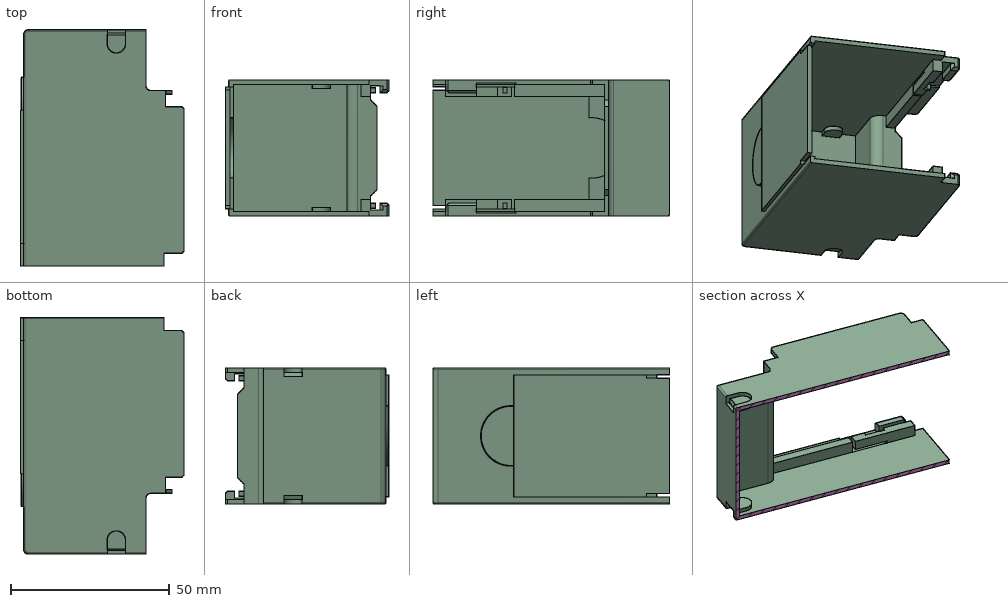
import cadquery as cq

LENGTH = 74.7
WIDTH = 51.8
HEIGHT = 43.0
WALL = 1.5
HALF = HEIGHT / 2
INNER_HALF = HALF - WALL

SIDE_X = 1.05
SIDE_CORNER_RADIUS = 1.6
SHOULDER_X = 39.75
SHOULDER_Y = 55.5
SHOULDER_RADIUS = 1.5
SHOULDER_WALL = 1.3
BEND_RADIUS = 3.3
LEDGE_INNER_Y = SHOULDER_Y - SHOULDER_WALL
LEDGE_X = 45.9
FOOT_TOP_Y = 50.4
FOOT_BOTTOM_Y = 4.0
OPEN_END_X = 45.4
FOOT_CHAMFER = 0.75
EDGE_ROUND = 0.5

TONGUE_X = 47.95
TONGUE_HALF = 15.1
TONGUE_CHAMFER = 1.95

WINDOW_HALF = 19.3
WINDOW_TOP_Y = 49.3
PANEL_BACK_X = 1.5
PANEL_CHAMFER = 0.2
PAD_RADIUS = 9.55
PAD_Y = 50.1
PAD_X = 0.2
NOTCH_HALF = 18.2
NOTCH_Y = 7.25

SLOT_X = 30.3
SLOT_Y = 70.2
SLOT_RADIUS = 2.85
SLOT_DEPTH = 1.4
BULGE_RADIUS = 2.9
BULGE_DEPTH = 2.8
RAMP_START_Y = 73.05
RAMP_END_Y = 73.6

RAIL_X = 42.8
RAIL_BACK_X = 45.65
RAIL_HALF = 16.2
RAIL_START_Y = 25.8
ARM_BACK_X = 45.9
ARM_END_Y = 24.9
ARM_NECK_X = 44.75
ROOT_END_Y = 13.75
ARM_NECK_END_Y = 20.3
RECESS_END_Y = 26.3
RECESS_DEPTH = 0.5
ROOT_THICKNESS = 1.95
ARM_CLEARANCE = 0.75

NOSE_X = 47.5
NOSE_INNER_HALF = 17.4
NOSE_OUTER_HALF = 19.05
NOSE_START_Y = 22.0
NOSE_END_Y = 23.3

LIP_X = 48.85
LIP_HALF = 17.4
LIP_LEAD_CHAMFER = 1.0


def box(x0, x1, y0, y1, z0, z1):
    return cq.Workplane("XY").box(x1 - x0, y1 - y0, z1 - z0, centered=False).translate((x0, y0, z0))


def nearest(x, y, z):
    return cq.NearestToPointSelector((x, y, z))


def block():
    """Solid envelope: the side-plate outline through the full height, outer edges rounded."""
    solid = (
        cq.Workplane("XY", origin=(0, 0, -HALF))
        .moveTo(SIDE_X, 0)
        .lineTo(SIDE_X, LENGTH)
        .lineTo(SHOULDER_X, LENGTH)
        .lineTo(SHOULDER_X, SHOULDER_Y)
        .lineTo(LEDGE_X, SHOULDER_Y)
        .lineTo(LEDGE_X, FOOT_TOP_Y)
        .lineTo(WIDTH - FOOT_CHAMFER, FOOT_TOP_Y)
        .lineTo(WIDTH, FOOT_TOP_Y - FOOT_CHAMFER)
        .lineTo(WIDTH, FOOT_BOTTOM_Y + FOOT_CHAMFER)
        .lineTo(WIDTH - FOOT_CHAMFER, FOOT_BOTTOM_Y)
        .lineTo(OPEN_END_X, FOOT_BOTTOM_Y)
        .lineTo(OPEN_END_X, 0)
        .close()
        .extrude(HEIGHT)
    )
    solid = solid.edges(nearest(SIDE_X, LENGTH, 0)).fillet(SIDE_CORNER_RADIUS)
    solid = solid.edges(nearest(SHOULDER_X, SHOULDER_Y, 0)).fillet(SHOULDER_RADIUS)
    mid_x = (SIDE_X + SHOULDER_X) / 2
    for z in (-HALF, HALF):
        solid = solid.edges(nearest(mid_x, LENGTH, z)).fillet(EDGE_ROUND)
    return solid


def cavity():
    """Inside space between the plates, open at the low-Y end and over the whole foot."""
    shoulder_inner_x = SHOULDER_X - SHOULDER_WALL
    inner = (
        cq.Workplane("XY", origin=(0, 0, -INNER_HALF))
        .moveTo(SIDE_X + WALL, 0)
        .lineTo(SIDE_X + WALL, LENGTH - WALL)
        .lineTo(shoulder_inner_x, LENGTH - WALL)
        .lineTo(shoulder_inner_x, LEDGE_INNER_Y)
        .lineTo(WIDTH, LEDGE_INNER_Y)
        .lineTo(WIDTH, 0)
        .close()
        .extrude(2 * INNER_HALF)
    )
    return inner.edges(nearest(shoulder_inner_x, LEDGE_INNER_Y, 0)).fillet(BEND_RADIUS)


def tongue():
    root_x = LEDGE_X - SHOULDER_WALL
    plate = box(root_x, TONGUE_X, LEDGE_INNER_Y, SHOULDER_Y, -TONGUE_HALF, TONGUE_HALF)
    return plate.edges("|Y and >X").chamfer(TONGUE_CHAMFER)


def pad_cylinder(x0, x1):
    return cq.Workplane("YZ", origin=(x0, PAD_Y, 0)).circle(PAD_RADIUS).extrude(x1 - x0)


def window():
    opening = box(PANEL_BACK_X, SIDE_X + WALL, 0, WINDOW_TOP_Y, -WINDOW_HALF, WINDOW_HALF)
    return opening.union(pad_cylinder(PANEL_BACK_X, SIDE_X + WALL))


def panel():
    plate = box(0, PANEL_BACK_X, 0, WINDOW_TOP_Y, -WINDOW_HALF, WINDOW_HALF)
    plate = plate.edges("<X and >Y").chamfer(PANEL_CHAMFER)
    pad = pad_cylinder(PAD_X, PANEL_BACK_X).faces("<X").chamfer(PANEL_CHAMFER)
    return plate.union(pad)


def panel_notch():
    return box(0, PANEL_BACK_X, 0, NOTCH_Y, NOTCH_HALF, WINDOW_HALF)


def round_ended(radius, z0, z1, y_end):
    """Prism with a half-round end, running in Y from the slot's centre to y_end."""
    round_end = cq.Workplane("XY", origin=(SLOT_X, SLOT_Y, z0)).circle(radius).extrude(z1 - z0)
    return round_end.union(box(SLOT_X - radius, SLOT_X + radius, SLOT_Y, y_end, z0, z1))


def slot_bulge():
    return round_ended(BULGE_RADIUS, HALF - BULGE_DEPTH, INNER_HALF, LENGTH - WALL)


def thumb_slot():
    floor_z = HALF - SLOT_DEPTH
    exit_z = HALF - BULGE_DEPTH
    ramp = (
        cq.Workplane("YZ", origin=(SLOT_X - SLOT_RADIUS, 0, 0))
        .moveTo(RAMP_START_Y, floor_z)
        .lineTo(RAMP_END_Y, exit_z)
        .lineTo(LENGTH, exit_z)
        .lineTo(LENGTH, floor_z)
        .close()
        .extrude(2 * SLOT_RADIUS)
    )
    return round_ended(SLOT_RADIUS, floor_z, HALF, LENGTH).union(ramp)


def spring_recess():
    """Shallow relief of the plate under the spring arm."""
    return box(RAIL_X, WIDTH, ROOT_END_Y, RECESS_END_Y, INNER_HALF, INNER_HALF + RECESS_DEPTH)


def rail():
    foot_z = INNER_HALF + RECESS_DEPTH
    return box(RAIL_X, RAIL_BACK_X, RAIL_START_Y, LEDGE_INNER_Y, RAIL_HALF, foot_z)


def spring_arm():
    arm_outer = INNER_HALF - ARM_CLEARANCE
    root = box(RAIL_X, ARM_BACK_X, FOOT_BOTTOM_Y, ROOT_END_Y, RAIL_HALF, INNER_HALF)
    arm = box(RAIL_X, ARM_BACK_X, ROOT_END_Y, ARM_END_Y, RAIL_HALF, arm_outer)
    neck = box(ARM_NECK_X, ARM_BACK_X, ROOT_END_Y, ARM_NECK_END_Y, RAIL_HALF, arm_outer)
    nose = box(ARM_BACK_X, NOSE_X, NOSE_START_Y, NOSE_END_Y, NOSE_INNER_HALF, NOSE_OUTER_HALF)
    return root.union(arm.cut(neck)).union(nose)


def hook():
    """Thickened foot edge at the open end with a lip turned inwards."""
    base = box(RAIL_X, WIDTH, FOOT_BOTTOM_Y, ROOT_END_Y, HALF - ROOT_THICKNESS, INNER_HALF)
    lip = box(LIP_X, WIDTH, FOOT_BOTTOM_Y, ROOT_END_Y, LIP_HALF, INNER_HALF)
    lip = lip.edges("|Z and <X and <Y").chamfer(LIP_LEAD_CHAMFER)
    lip = lip.edges("|X and <Z and <Y").chamfer(LIP_LEAD_CHAMFER)
    lip = lip.edges("|Y and >X and <Z").chamfer(FOOT_CHAMFER)
    lead_corner = (
        cq.Workplane("XY", origin=(0, 0, LIP_HALF))
        .moveTo(WIDTH - FOOT_CHAMFER, FOOT_BOTTOM_Y)
        .lineTo(WIDTH, FOOT_BOTTOM_Y)
        .lineTo(WIDTH, FOOT_BOTTOM_Y + FOOT_CHAMFER)
        .close()
        .extrude(INNER_HALF - LIP_HALF)
    )
    return base.union(lip).cut(lead_corner)


def on_both_plates(feature):
    """The feature at the upper plate and its mirror image at the lower one."""
    return feature.union(feature.mirror("XY"))


result = block().cut(cavity()).union(tongue()).union(panel()).cut(window())
result = result.cut(on_both_plates(panel_notch())).cut(on_both_plates(spring_recess()))
additions = slot_bulge().union(rail()).union(spring_arm()).union(hook())
result = result.union(on_both_plates(additions)).cut(on_both_plates(thumb_slot()))